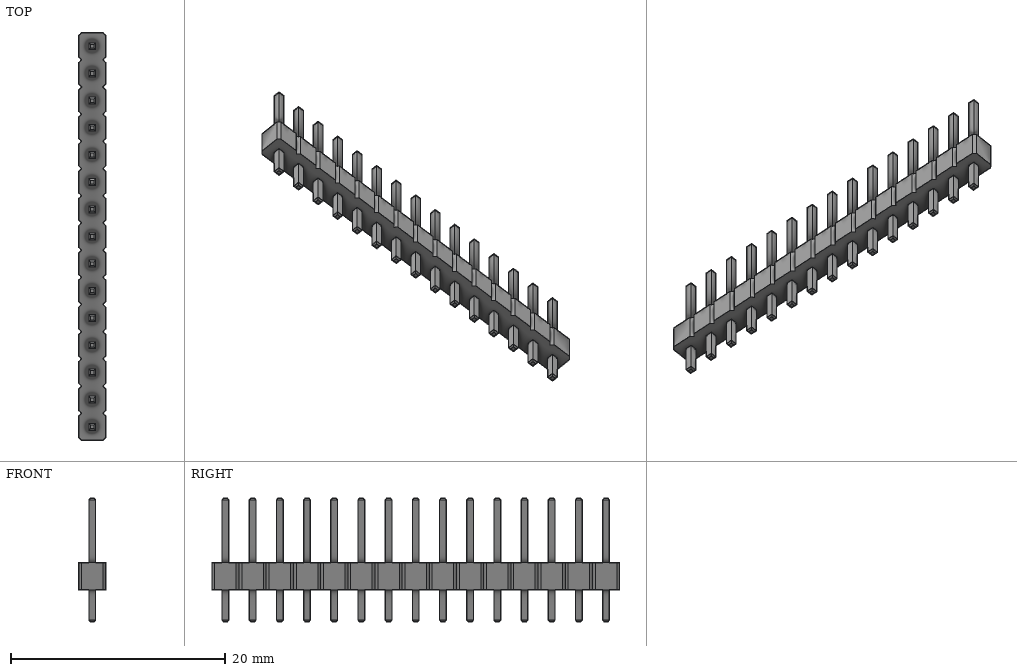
import cadquery as cq

pin_count = 15
row_length = 38.1
pitch = row_length / pin_count
body_width = pitch
body_height = pitch
corner_chamfer = 0.25

pin_side = 0.65
pin_above_body = 6.02
total_height = 11.55
pin_bottom = pin_above_body + body_height - total_height
tip_chamfer = 0.15


def insulator_block(y):
    """One body segment with its four upright edges chamfered, resting on Z = 0."""
    block = cq.Workplane("XY").box(body_width, pitch, body_height, centered=(True, True, False))
    return block.edges("|Z").chamfer(corner_chamfer).translate((0, y, 0))


def pin(y):
    """One square pin, tapered at both tips."""
    post = cq.Workplane("XY").box(pin_side, pin_side, total_height, centered=(True, True, False))
    return post.faces("<Z or >Z").chamfer(tip_chamfer).translate((0, y, pin_bottom))


result = cq.Workplane("XY")
for index in range(pin_count):
    position = (index - (pin_count - 1) / 2) * pitch
    result = result.union(insulator_block(position)).union(pin(position))